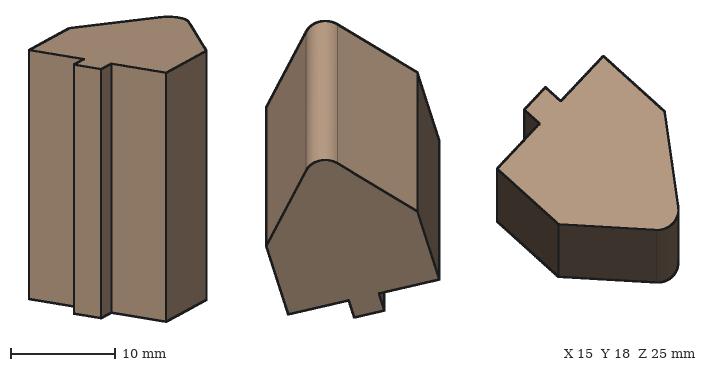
import cadquery as cq
import math

height = 25.0
body_width = 15.0
total_depth = 18.0
tongue_width = 3.0
tongue_depth = 2.0
side_depth = 8.0
nose_radius = 2.0

front_y = -total_depth / 2
body_y = front_y + tongue_depth
shoulder_y = body_y + side_depth
tip_y = total_depth / 2
nose_center_y = tip_y - nose_radius

half_body = body_width / 2
half_tongue = tongue_width / 2

shoulder_drop = shoulder_y - nose_center_y
shoulder_distance = math.hypot(half_body, shoulder_drop)
shoulder_angle = math.atan2(shoulder_drop, half_body)
tangent_angle = shoulder_angle + math.acos(nose_radius / shoulder_distance)
tangent_x = nose_radius * math.cos(tangent_angle)
tangent_y = nose_center_y + nose_radius * math.sin(tangent_angle)

result = (
    cq.Workplane("XY")
    .workplane(offset=-height / 2)
    .moveTo(-half_tongue, front_y)
    .lineTo(half_tongue, front_y)
    .lineTo(half_tongue, body_y)
    .lineTo(half_body, body_y)
    .lineTo(half_body, shoulder_y)
    .lineTo(tangent_x, tangent_y)
    .threePointArc((0, tip_y), (-tangent_x, tangent_y))
    .lineTo(-half_body, shoulder_y)
    .lineTo(-half_body, body_y)
    .lineTo(-half_tongue, body_y)
    .close()
    .extrude(height)
)